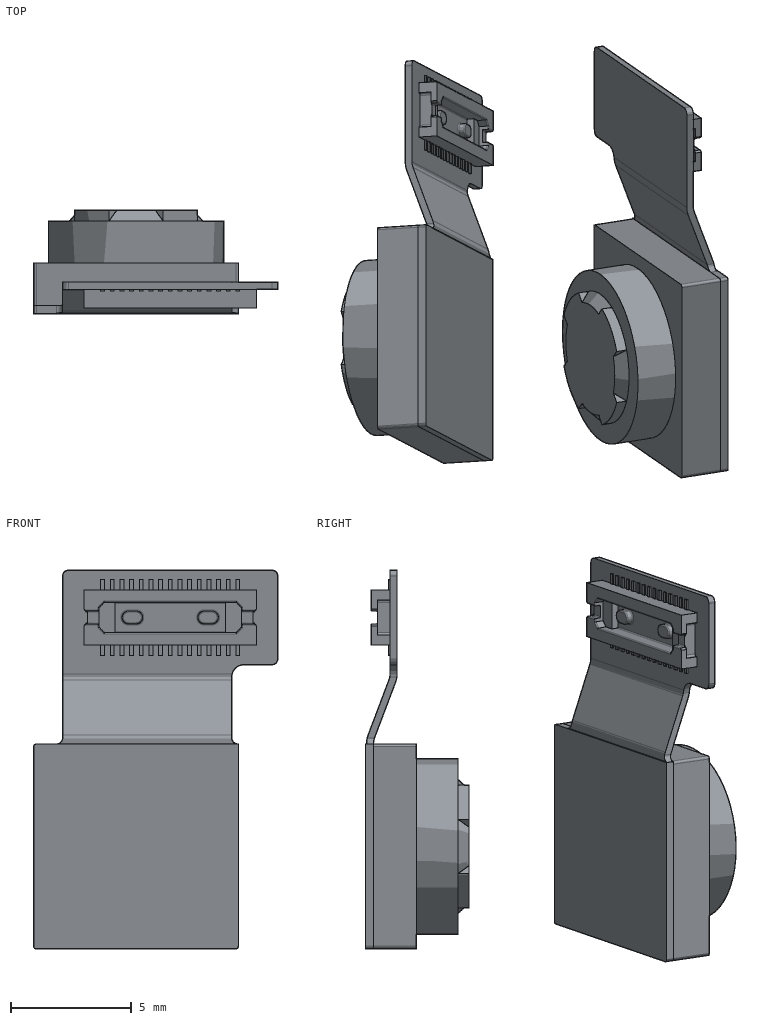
import cadquery as cq
import math


overall_width = 10.13
overall_height = 15.7

housing_side = 8.5
housing_back_y = 2.12
housing_corner_radius = 0.11
barrel_radius = 3.65
barrel_length = 1.73
lens_cap_radius = 2.78
lens_cap_height = 0.45
cap_arm_width = 2.01
cap_cone_top_radius = 2.35

sheet_thickness = 0.3
plate_step = 0.05
plate_thickness = sheet_thickness + plate_step
strip_left_x = -3.05
strip_width = 7.02
strip_root_radius = 0.25
head_height = 3.92
head_front_y = 1.02
head_corner_radius = 0.25
head_notch_radius = 0.5
upper_bend_drop = 4.43
lower_bend_rise = 0.2
inner_bend_radius = 0.69
outer_bend_radius = inner_bend_radius + sheet_thickness

connector_length = 7.16
connector_height = 2.3
connector_depth = 0.78
contact_count = 15
contact_pitch = 0.4
contact_width = 0.15
contact_thickness = 0.06
contact_span = 3.14
pocket_end_wall = 0.63
pocket_side_wall = 0.52
pocket_corner = 0.22
pocket_depth = 0.41
well_length = 4.58
well_depth = 0.7
slot_width = 0.53
slot_depth = 0.27
slot_flare = 0.08
recess_height = 1.45
recess_depth = 0.15
recess_floor_radius = 0.1
boss_spacing = 3.14
boss_length = 0.85
boss_width = 0.53
inner_edge_radius = 0.05

selection_margin = 0.02

plate_top_z = housing_side / 2
strip_right_x = strip_left_x + strip_width
head_right_x = overall_width - housing_side / 2
head_top_z = overall_height - housing_side / 2
head_width = head_right_x - strip_left_x
head_bottom_z = head_top_z - head_height
connector_x = strip_left_x + head_width / 2
connector_z = head_top_z - head_height / 2
connector_front_y = head_front_y - connector_depth
boss_height = well_depth - pocket_depth


def box(x_range, y_range, z_range):
    """Box between two limits along each axis."""
    size = [high - low for low, high in (x_range, y_range, z_range)]
    return cq.Workplane("XY").box(*size, centered=False).translate((x_range[0], y_range[0], z_range[0]))


def plane_at_y(y):
    """Sketch plane at depth y: local x is X, local y is Z, and extrusion runs toward +Y."""
    return cq.Workplane(cq.Plane(origin=(0, y, 0), xDir=(1, 0, 0), normal=(0, -1, 0)))


def prism(outline, y_start, y_end):
    """Extrude a closed XZ outline, sketched at y_start, to y_end."""
    return outline.extrude(y_start - y_end)


def make_lens_cap(base_y):
    """Cone frustum with four full-height arms in an X, cut off by the circle of the cone's base."""
    end_y = base_y + lens_cap_height
    disc = prism(plane_at_y(base_y).circle(lens_cap_radius), base_y, end_y)
    arm = prism(plane_at_y(base_y).rect(2 * lens_cap_radius, cap_arm_width), base_y, end_y)
    arms = arm.rotate((0, 0, 0), (0, 1, 0), 45).union(arm.rotate((0, 0, 0), (0, 1, 0), -45))
    cone = cq.Solid.makeCone(
        lens_cap_radius,
        cap_cone_top_radius,
        lens_cap_height,
        pnt=cq.Vector(0, base_y, 0),
        dir=cq.Vector(0, 1, 0),
    )
    return disc.intersect(arms).union(cq.Workplane(cone))


def make_camera():
    """Square housing with the round lens barrel and its cap."""
    barrel_end_y = housing_back_y + barrel_length
    housing = prism(
        plane_at_y(plate_thickness).rect(housing_side, housing_side), plate_thickness, housing_back_y
    )
    housing = housing.edges("|Y").fillet(housing_corner_radius)
    barrel = prism(plane_at_y(housing_back_y).circle(barrel_radius), housing_back_y, barrel_end_y)
    return housing.union(barrel).union(make_lens_cap(barrel_end_y))


def make_bent_sheet():
    """Wide sheet bent forward from the head down to the plate, to be trimmed to the outline."""
    upper_z = head_top_z - upper_bend_drop
    lower_z = plate_top_z + lower_bend_rise
    bend_angle = math.atan2(head_front_y - plate_step, upper_z - lower_z)
    back_drop = sheet_thickness * math.tan(bend_angle / 2)
    sheet = (
        cq.Workplane("YZ", origin=(strip_left_x, 0, 0))
        .polyline([
            (head_front_y, head_top_z),
            (head_front_y, upper_z),
            (plate_step, lower_z),
            (plate_step, plate_top_z),
            (plate_thickness, plate_top_z),
            (plate_thickness, lower_z - back_drop),
            (head_front_y + sheet_thickness, upper_z - back_drop),
            (head_front_y + sheet_thickness, head_top_z),
        ])
        .close()
        .extrude(head_width + strip_root_radius, both=True)
    )

    def bend_edge(y, z):
        return cq.selectors.NearestToPointSelector((strip_left_x, y, z))

    inner_bends = bend_edge(head_front_y, upper_z) + bend_edge(plate_thickness, lower_z - back_drop)
    outer_bends = (
        bend_edge(plate_step, lower_z)
        + bend_edge(head_front_y + sheet_thickness, upper_z - back_drop)
    )
    sheet = sheet.edges(inner_bends).fillet(inner_bend_radius)
    return sheet.edges(outer_bends).fillet(outer_bend_radius)


def make_flex_outline():
    """Block with the outline of the head and strip, flared at the foot of the strip."""
    root = strip_root_radius
    notch = head_notch_radius
    outline = (
        plane_at_y(0)
        .moveTo(strip_left_x, head_top_z)
        .lineTo(head_right_x, head_top_z)
        .lineTo(head_right_x, head_bottom_z)
        .lineTo(strip_right_x + notch, head_bottom_z)
        .radiusArc((strip_right_x, head_bottom_z - notch), -notch)
        .lineTo(strip_right_x, plate_top_z + root)
        .radiusArc((strip_right_x + root, plate_top_z), -root)
        .lineTo(strip_left_x - root, plate_top_z)
        .radiusArc((strip_left_x, plate_top_z + root), -root)
        .close()
    )
    blank = prism(outline, 0, housing_back_y)
    head_corners = [
        (strip_left_x, head_top_z),
        (head_right_x, head_top_z),
        (head_right_x, head_bottom_z),
    ]
    for x, z in head_corners:
        corner = cq.selectors.NearestToPointSelector((x, housing_back_y / 2, z))
        blank = blank.edges("|Y").edges(corner).fillet(head_corner_radius)
    return blank


def make_flex():
    """Flex board: plate under the housing, bent strip and connector head in one piece."""
    plate = prism(plane_at_y(0).rect(housing_side, housing_side), 0, plate_thickness)
    plate = plate.edges("|Y and (<X or <Z)").fillet(housing_corner_radius)
    return make_bent_sheet().intersect(make_flex_outline()).union(plate)


def across(centre, width):
    """Limits of a span of the given width about a centre."""
    return (centre - width / 2, centre + width / 2)


def cut_pocket(body):
    """Open pocket with chamfered corners and a deeper middle well."""
    front_y = connector_front_y
    pocket_z = across(connector_z, connector_height - 2 * pocket_side_wall)
    pocket_x = across(connector_x, connector_length - 2 * pocket_end_wall)
    pocket = box(pocket_x, (front_y, front_y + pocket_depth), pocket_z)
    pocket = pocket.edges("|Y").chamfer(pocket_corner)
    well = box(across(connector_x, well_length), (front_y, front_y + well_depth), pocket_z)
    well = well.edges("|X and >Y").fillet(inner_edge_radius)
    return body.cut(pocket).cut(well)


def cut_ends(body):
    """Slot from each end into the pocket, with a taller shallow recess behind it in the end face."""
    slot_floor_y = connector_front_y + slot_depth
    slot = box(
        across(connector_x, connector_length),
        (connector_front_y, slot_floor_y),
        across(connector_z, slot_width),
    )
    slot = slot.edges("|X and >Y").fillet(inner_edge_radius)
    body = body.cut(slot)
    for side in (-1, 1):
        end_x = connector_x + side * connector_length / 2
        recess = box(
            across(end_x, 2 * recess_depth),
            (slot_floor_y, head_front_y),
            across(connector_z, recess_height),
        )
        recess = recess.edges("|Y").fillet(recess_floor_radius)
        body = body.cut(recess)
    return body


def flare_slot_ends(body):
    """Widen each slot by a small chamfer where it leaves the end face."""
    half_slot = slot_width / 2
    half_mouth = half_slot + slot_flare
    for side in (-1, 1):
        end_x = connector_x + side * connector_length / 2
        throat_x = end_x - side * slot_flare
        outline = (
            plane_at_y(connector_front_y)
            .polyline([
                (end_x, connector_z - half_mouth),
                (end_x, connector_z + half_mouth),
                (throat_x, connector_z + half_slot),
                (throat_x, connector_z - half_slot),
            ])
            .close()
        )
        body = body.cut(prism(outline, connector_front_y, connector_front_y + slot_depth))
    return body


def round_front_edges(body):
    """Round the front edges of the pocket and the slots, leaving the outer rim sharp."""
    reach_x = connector_length / 2 - slot_flare
    reach_z = connector_height / 2 - slot_flare
    inside_rim = cq.selectors.BoxSelector(
        (connector_x - reach_x, 0, connector_z - reach_z),
        (connector_x + reach_x, head_front_y, connector_z + reach_z),
    )
    return body.faces("<Y").edges(inside_rim).fillet(inner_edge_radius)


def add_bosses(body):
    """Two rounded oblong bosses standing on the well floor, with soft top and root edges."""
    floor_y = connector_front_y + well_depth
    centres = [(connector_x + side * boss_spacing / 2, connector_z) for side in (-1, 1)]
    top_y = floor_y - boss_height
    outlines = plane_at_y(floor_y).pushPoints(centres).slot2D(boss_length, boss_width)
    body = body.union(prism(outlines, floor_y, top_y))
    reach_x = boss_length / 2 + selection_margin
    reach_z = boss_width / 2 + selection_margin
    for centre_x, centre_z in centres:
        around_boss = cq.selectors.BoxSelector(
            (centre_x - reach_x, top_y - selection_margin, centre_z - reach_z),
            (centre_x + reach_x, floor_y + selection_margin, centre_z + reach_z),
        )
        body = body.edges(around_boss).edges("not |Y").fillet(inner_edge_radius)
    return body


def make_connector():
    """Board connector with two rows of contacts."""
    body = box(
        across(connector_x, connector_length),
        (connector_front_y, head_front_y),
        across(connector_z, connector_height),
    )
    body = round_front_edges(flare_slot_ends(cut_ends(cut_pocket(body))))
    body = add_bosses(body)
    contact_length = (contact_span - connector_height) / 2
    for side in (-1, 1):
        row_z = connector_z + side * (connector_height + contact_length) / 2
        for index in range(contact_count):
            contact_x = connector_x + (index - (contact_count - 1) / 2) * contact_pitch
            contact = box(
                across(contact_x, contact_width),
                (head_front_y - contact_thickness, head_front_y),
                across(row_z, contact_length),
            )
            body = body.union(contact)
    return body


camera = make_camera()
flex = make_flex()
connector = make_connector()

result = cq.Compound.makeCompound([
    camera.solids().val(),
    flex.solids().val(),
    connector.solids().val(),
])